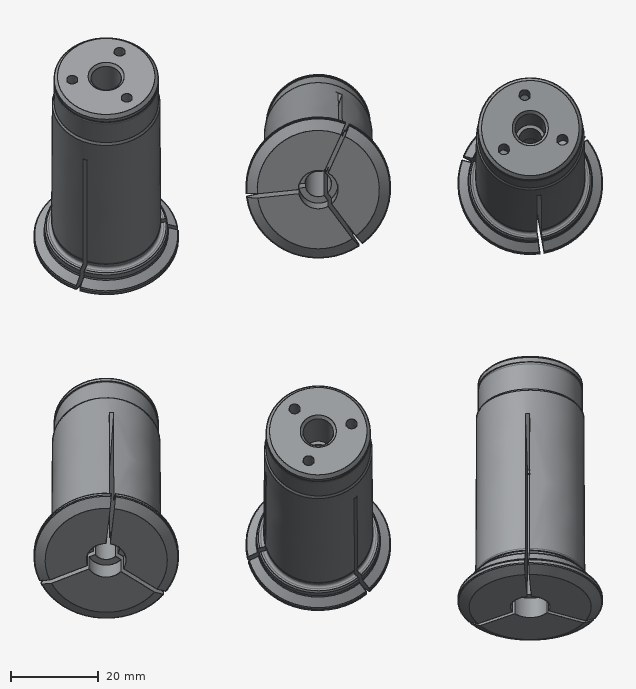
import cadquery as cq
import math

height = 60.5
repeat_count = 3

top_face_radius = 22.2 / 2
top_radius = 23.8 / 2
top_chamfer = top_radius - top_face_radius
groove_top = 58.55
groove_depth = 0.2
groove_height = 0.6
top_land_bottom = 51.25
shoulder_drop = 0.6

body_top_radius = 12.3
body_radius = 12.45
body_bottom = 7.9
body_edge_drop = 0.4
body_edge_inset = 0.05
neck_radius = 12.3
neck_top = 7.4

undercut_width = 0.85
undercut_height = 0.6
undercut_radius = (undercut_width**2 + undercut_height**2) / (2 * undercut_width)

collar_radius = 28.0 / 2
collar_top = 6.0
collar_chamfer = 0.35
collar_bottom = 4.25
collar_foot = 0.2
bottom_radius = 13.9
flange_radius = 33.0 / 2
flange_slope_top = 3.9
flange_slope_bottom = 2.7
flange_edge_top = 2.35
flange_edge_bottom = 1.6
flange_slope_foot = 1.35
flange_corner = 0.2

socket_radius = 6.9 / 2
socket_mouth_radius = 8.2 / 2
socket_mouth_chamfer = socket_mouth_radius - socket_radius
socket_depth = 12.1
passage_radius = 5.2 / 2
bore_radius = 6.0 / 2
bore_top = 37.5
counterbore_radius = 9.0 / 2
counterbore_top = 5.2

hole_diameter = 2.5
hole_circle_radius = 7.8
hole_depth = 6.05
hole_floor_angle = 30.0

slot_width = 0.95
slot_top = 44.3
slot_first_angle = 60.0


def outer_body():
    """Solid of revolution for the whole outside."""
    return (
        cq.Workplane("XZ")
        .moveTo(0, 0)
        .lineTo(bottom_radius, 0)
        .lineTo(flange_radius - flange_corner, flange_slope_foot)
        .lineTo(flange_radius, flange_edge_bottom)
        .lineTo(flange_radius, flange_edge_top)
        .lineTo(flange_radius - flange_corner, flange_slope_bottom)
        .lineTo(collar_radius + collar_foot, flange_slope_top)
        .lineTo(collar_radius, collar_bottom)
        .lineTo(collar_radius, collar_top - collar_chamfer)
        .lineTo(collar_radius - collar_chamfer, collar_top)
        .lineTo(neck_radius + undercut_width, collar_top)
        .radiusArc((neck_radius, collar_top + undercut_height), undercut_radius)
        .lineTo(neck_radius, neck_top)
        .lineTo(body_radius - body_edge_inset, body_bottom - body_edge_drop)
        .lineTo(body_radius, body_bottom)
        .lineTo(body_top_radius, top_land_bottom - shoulder_drop)
        .lineTo(top_radius, top_land_bottom)
        .lineTo(top_radius, groove_top - groove_height)
        .lineTo(top_radius - groove_depth, groove_top)
        .lineTo(top_radius, groove_top)
        .lineTo(top_radius, height - top_chamfer)
        .lineTo(top_face_radius, height)
        .lineTo(0, height)
        .close()
        .revolve(360, (0, 0, 0), (0, 1, 0))
    )


def centre_hole():
    """Stepped through hole with a chamfered mouth at the top."""
    socket_floor = height - socket_depth
    return (
        cq.Workplane("XZ")
        .moveTo(0, 0)
        .lineTo(counterbore_radius, 0)
        .lineTo(counterbore_radius, counterbore_top)
        .lineTo(bore_radius, counterbore_top)
        .lineTo(bore_radius, bore_top)
        .lineTo(passage_radius, bore_top)
        .lineTo(passage_radius, socket_floor)
        .lineTo(socket_radius, socket_floor)
        .lineTo(socket_radius, height - socket_mouth_chamfer)
        .lineTo(socket_mouth_radius, height)
        .lineTo(0, height)
        .close()
        .revolve(360, (0, 0, 0), (0, 1, 0))
    )


def top_holes():
    """Blind holes whose floors lie on one cone that falls towards the Z axis."""
    floor_height = height - hole_depth
    floor_rise = top_radius * math.tan(math.radians(hole_floor_angle))
    centre_rise = hole_circle_radius * math.tan(math.radians(hole_floor_angle))
    above_floor = (
        cq.Workplane("XZ")
        .moveTo(0, floor_height - centre_rise)
        .lineTo(top_radius, floor_height - centre_rise + floor_rise)
        .lineTo(top_radius, height)
        .lineTo(0, height)
        .close()
        .revolve(360, (0, 0, 0), (0, 1, 0))
    )
    return (
        cq.Workplane("XY")
        .polarArray(hole_circle_radius, 0, 360, repeat_count)
        .circle(hole_diameter / 2)
        .extrude(height)
        .intersect(above_floor)
    )


def slot(angle):
    """Radial slot open at the flange end; its roof falls at 45 degrees towards the axis."""
    roof_at_axis = slot_top - body_top_radius
    return (
        cq.Workplane("XZ")
        .moveTo(0, 0)
        .lineTo(flange_radius, 0)
        .lineTo(flange_radius, roof_at_axis + flange_radius)
        .lineTo(0, roof_at_axis)
        .close()
        .extrude(slot_width / 2, both=True)
        .rotate((0, 0, 0), (0, 0, 1), angle)
    )


result = outer_body().cut(centre_hole()).cut(top_holes())
for i in range(repeat_count):
    result = result.cut(slot(slot_first_angle + i * 360 / repeat_count))